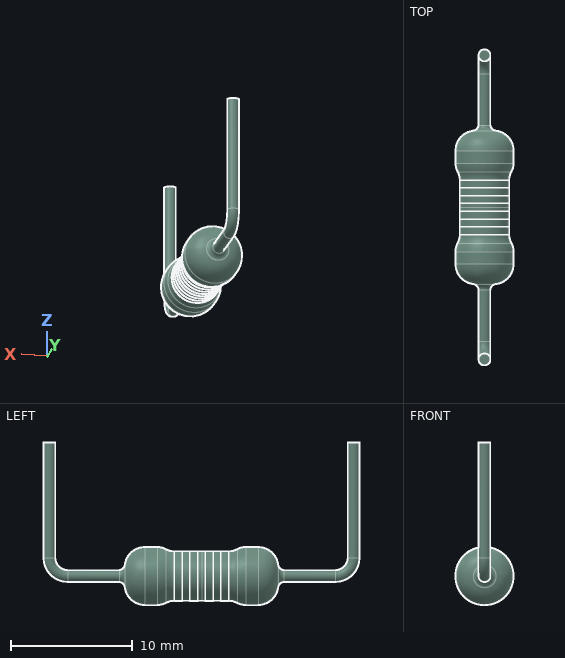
import cadquery as cq

overall_length = 26.0
overall_height = 13.4

lead_diameter = 1.0
bend_radius = 1.5

cap_diameter = 4.8
core_diameter = 4.08
band_diameter = 4.1
core_half_length = 2.24
cap_start = 3.65
cap_end = 4.65
shoulder_end = 6.32
collar_diameter = 1.87
collar_end = 6.75
collar_bulge = 0.08
stripe_count = 7

lead_radius = lead_diameter / 2
cap_radius = cap_diameter / 2
core_radius = core_diameter / 2
collar_radius = collar_diameter / 2
lead_tip_height = overall_height - cap_radius
leg_y = overall_length / 2 - lead_radius
stripe_width = 2 * core_half_length / stripe_count


def tangent_arc_radius(run, drop):
    """Radius of an arc that leaves a line tangentially and moves off it by drop over run."""
    return (run**2 + drop**2) / (2 * drop)


def half_body():
    """Revolved +Y half: core, S-shaped neck, cap, rounded shoulder and lead collar."""
    neck_middle = ((core_radius + cap_radius) / 2, (core_half_length + cap_start) / 2)
    neck_arc_radius = tangent_arc_radius(
        (cap_start - core_half_length) / 2, (cap_radius - core_radius) / 2
    )
    shoulder_radius = tangent_arc_radius(shoulder_end - cap_end, cap_radius - collar_radius)
    collar_middle = (
        (collar_radius + lead_radius) / 2 - collar_bulge,
        (shoulder_end + collar_end) / 2 - collar_bulge,
    )
    return (
        cq.Workplane("XY")
        .lineTo(core_radius, 0)
        .lineTo(core_radius, core_half_length)
        .radiusArc(neck_middle, neck_arc_radius)
        .radiusArc((cap_radius, cap_start), -neck_arc_radius)
        .lineTo(cap_radius, cap_end)
        .radiusArc((collar_radius, shoulder_end), -shoulder_radius)
        .threePointArc(collar_middle, (lead_radius, collar_end))
        .lineTo(0, collar_end)
        .close()
        .revolve(360, (0, 0, 0), (0, 1, 0))
    )


def raised_bands():
    """Colour bands: every second stripe, starting at the ends, stands slightly proud."""
    bands = cq.Workplane("XZ")
    for stripe in range(0, stripe_count, 2):
        start = -core_half_length + stripe * stripe_width
        band = (
            cq.Workplane("XZ", origin=(0, start, 0))
            .circle(band_diameter / 2)
            .extrude(-stripe_width)
        )
        bands = bands.add(band)
    return bands.combine()


def bent_lead():
    """Wire from the body middle out along +Y, around the bend and up to its tip."""
    path = (
        cq.Workplane("YZ")
        .lineTo(leg_y - bend_radius, 0)
        .radiusArc((leg_y, bend_radius), -bend_radius)
        .lineTo(leg_y, lead_tip_height)
    )
    return cq.Workplane("XZ").circle(lead_radius).sweep(path)


half = half_body().union(bent_lead())
result = half.union(half.mirror("XZ")).union(raised_bands()).clean()